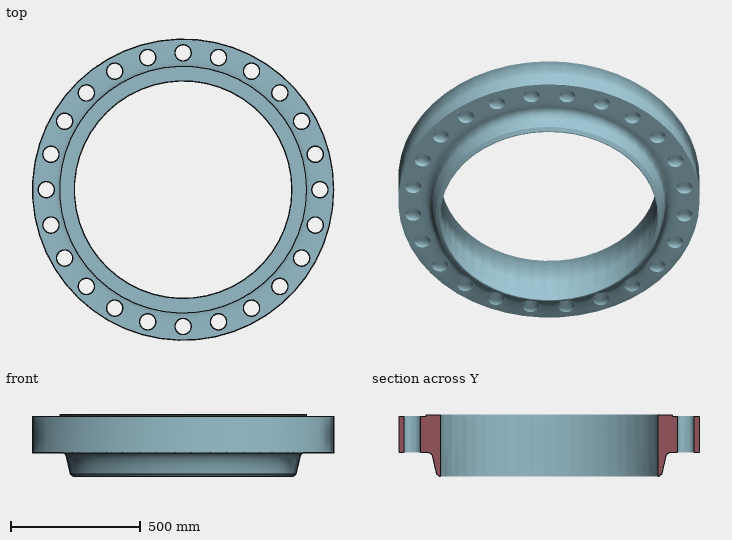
import cadquery as cq

flange_diameter = 1162.0
bore_diameter = 838.0
total_height = 239.0

face_diameter = 952.0
face_height = 7.0
flange_thickness = 141.0

hub_top_diameter = 909.0
hub_taper_end_diameter = 872.0
hub_tip_diameter = 846.0
hub_bevel_height = 10.0
hub_fillet_radius = 16.0

bolt_count = 24
bolt_circle_diameter = 1055.0
bolt_hole_diameter = 62.0

flange_top = total_height - face_height
flange_bottom = flange_top - flange_thickness


def flange_body():
    """Revolve the half section about Z, then round the root of the hub."""
    section = [
        (bore_diameter / 2, 0),
        (hub_tip_diameter / 2, 0),
        (hub_taper_end_diameter / 2, hub_bevel_height),
        (hub_top_diameter / 2, flange_bottom),
        (flange_diameter / 2, flange_bottom),
        (flange_diameter / 2, flange_top),
        (face_diameter / 2, flange_top),
        (face_diameter / 2, total_height),
        (bore_diameter / 2, total_height),
    ]
    body = cq.Workplane("XZ").polyline(section).close().revolve(360, (0, 0), (0, 1))
    hub_root = cq.selectors.RadiusNthSelector(3)
    return body.edges("%CIRCLE").edges(hub_root).fillet(hub_fillet_radius)


def bolt_holes():
    """Cylinders spaced evenly on the bolt circle, the first one on the X axis."""
    return (
        cq.Workplane("XY")
        .polarArray(bolt_circle_diameter / 2, 0, 360, bolt_count)
        .circle(bolt_hole_diameter / 2)
        .extrude(total_height)
    )


result = flange_body().cut(bolt_holes())